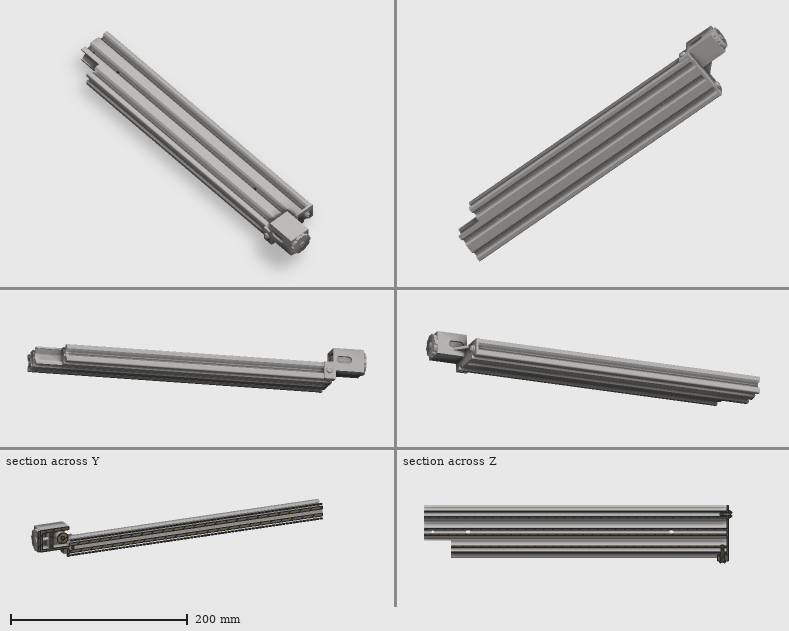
import cadquery as cq
import math

module = 20.0
bar_length = 342.0
bar_width = 60.0
cell_pitch = (bar_width - module) / 2
bar_height = module
bar_corner_radius = 1.5
core_y = [module / 2 + i * cell_pitch for i in range(3)]
mid_z = bar_height / 2

slot_mouth_half = 9.5 / 2
slot_neck_half = 2.85
slot_neck_depth = 2.0
slot_inner_half = 5.5
slot_inner_depth = 3.0
slot_floor_half = 2.0
slot_depth = 5.7
scribe_half = 0.5
scribe_depth = 0.57
core_hole_diameter = 4.2

cavity_half_width = 5.7
cavity_half_height = 15.5 / 2
cavity_roof_half = 1.5
cavity_wall_half = 1.72
cavity_bevel = 0.5
cavity_bevel_height = 1.5

notch_length = 30.2
notch_width = module

access_hole_diameter = 4.5
access_hole_x = [49.5, 279.8]
small_hole_diameter = 2.85
small_hole_x = 9.5

wall = 3.0
plate_thickness = 2.5
box_outer = 26.5
box_x_min = bar_length
box_x_max = 377.5
box_top = 36.5
box_y_min = -wall
box_mid_y = box_y_min + box_outer / 2
box_mid_z = box_top - box_outer / 2
box_inner_width = box_outer - 2 * wall
box_roof = 4.2
box_inner_z_min = box_top - box_outer + wall
box_inner_z_max = box_top - box_roof
front_plate_overlap = 10.5
neck_fillet_radius = 1.5
gusset_length = 14.5
gusset_rise = 14.5
gusset_thickness = 3.0
gusset_drop = 1.0
gusset_fillet_radius = 0.8
plate_notch_width = 7.5
plate_notch_height = 4.0
key_depth = 5.0
adjust_slot_length = 18.5
adjust_slot_height = 8.0
adjust_slot_x_min = 345.5

screw_shank_diameter = 4.0
screw_head_diameter = 7.5
screw_head_top_diameter = 4.5
screw_head_rim = 0.5
screw_dome_share = 0.7
screw_head_height = 2.3
screw_socket_across_corners = 2.85
screw_socket_depth = 1.0
front_screw_x = 337.5
front_screw_tip_y = 15.3
end_screw_length = 11.5
washer_diameter = 9.5
washer_thickness = 1.0

pulley_x = 350.0
pulley_barrel_diameter = 12.0
pulley_flange_diameter = 13.5
pulley_width = 9.5
pulley_barrel_width = 7.3
axle_diameter = 4.0
yoke_x_min = 343.5
yoke_x_max = 366.0
yoke_web = 4.5

knob_x_min = box_x_max
knob_x_max = 381.0
knob_diameter = 26.5
knob_lobes = 10
knob_scallop_diameter = 4.0
knob_scallop_depth = 1.0
rod_diameter = 4.0
rod_head_diameter = 7.3
rod_end_x = 382.2


def block(x0, x1, y0, y1, z0, z1):
    return cq.Workplane("XY").box(x1 - x0, y1 - y0, z1 - z0, centered=False).translate((x0, y0, z0))


def cylinder_x(diameter, x0, x1, y, z):
    return cq.Workplane("YZ", origin=(x0, y, z)).circle(diameter / 2).extrude(x1 - x0)


def cylinder_y(diameter, y0, y1, x, z):
    return cq.Workplane("XZ", origin=(x, y0, z)).circle(diameter / 2).extrude(y0 - y1)


def v_slot(face_y, face_z, turn, length):
    """Cutter for one slot; the local profile opens downward and is turned about X."""
    half = [
        (slot_mouth_half, 0),
        (slot_neck_half, slot_neck_depth),
        (slot_inner_half, slot_neck_depth),
        (slot_inner_half, slot_inner_depth),
        (slot_floor_half, slot_depth),
    ]
    outline = half + [(scribe_half, slot_depth), (0, slot_depth + scribe_depth), (-scribe_half, slot_depth)]
    outline += [(-u, depth) for u, depth in reversed(half)]
    cutter = cq.Workplane("YZ").polyline(outline).close().extrude(length)
    return cutter.rotate((0, 0, 0), (1, 0, 0), turn).translate((0, face_y, face_z))


def make_extrusion():
    bar = block(0, bar_length, 0, bar_width, 0, bar_height).edges("|X").fillet(bar_corner_radius)
    for y in core_y:
        bar = bar.cut(v_slot(y, 0, 0, bar_length))
        bar = bar.cut(v_slot(y, bar_height, 180, bar_length))
        bar = bar.cut(cylinder_x(core_hole_diameter, 0, bar_length, y, mid_z))
    bar = bar.cut(v_slot(0, mid_z, -90, bar_length))
    bar = bar.cut(v_slot(bar_width, mid_z, 90, bar_length))
    flank_half = cavity_half_width - cavity_bevel
    flank_z = cavity_wall_half + cavity_bevel_height
    upper = [
        (cavity_half_width, cavity_wall_half),
        (flank_half, flank_z),
        (cavity_roof_half, cavity_half_height),
        (-cavity_roof_half, cavity_half_height),
        (-flank_half, flank_z),
        (-cavity_half_width, cavity_wall_half),
    ]
    outline = upper + [(-y, -z) for y, z in upper]
    for left, right in zip(core_y, core_y[1:]):
        cavity = cq.Workplane("YZ", origin=(0, (left + right) / 2, mid_z))
        cavity = cavity.polyline(outline).close().extrude(bar_length)
        bar = bar.cut(cavity)
    bar = bar.cut(block(0, notch_length, 0, notch_width, 0, bar_height))
    holes = [(x, access_hole_diameter) for x in access_hole_x] + [(small_hole_x, small_hole_diameter)]
    for x, diameter in holes:
        hole = cq.Workplane("XY", origin=(x, core_y[1], 0)).circle(diameter / 2).extrude(bar_height)
        bar = bar.cut(hole)
    return bar.cut(cylinder_y(screw_shank_diameter, 0, front_screw_tip_y, front_screw_x, mid_z))


def make_bracket():
    plate_x_max = bar_length + plate_thickness
    front_x_min = bar_length - front_plate_overlap
    box_y_max = box_y_min + box_outer
    box_z_min = box_top - box_outer
    body = block(bar_length, plate_x_max, box_y_min, bar_width, 0, bar_height)
    body = body.union(block(front_x_min, plate_x_max, box_y_min, 0, 0, bar_height))
    body = body.union(block(box_x_min, box_x_max, box_y_min, box_y_max, box_z_min, box_top))
    body = body.union(
        block(front_x_min, bar_length, 0, key_depth, mid_z - slot_neck_half, mid_z + slot_neck_half)
    )
    gusset = (
        cq.Workplane("XY", origin=(plate_x_max, box_y_max, bar_height - gusset_drop))
        .polyline([(0, 0), (gusset_length, 0), (0, gusset_rise)])
        .close()
        .extrude(-gusset_thickness)
    )
    body = body.union(gusset)
    root = (plate_x_max, box_y_max + gusset_rise / 2, bar_height - gusset_drop)
    body = body.edges(cq.selectors.NearestToPointSelector(root)).fillet(gusset_fillet_radius)
    radius = neck_fillet_radius
    centre_x = bar_length - radius
    centre_z = bar_height + radius
    corner = block(centre_x, bar_length, box_y_min, 0, bar_height, centre_z)
    corner = corner.cut(cylinder_y(2 * radius, box_y_min, 0, centre_x, centre_z))
    body = body.union(corner)
    belt_y_min = box_mid_y - box_inner_width / 2
    belt_y_max = box_mid_y + box_inner_width / 2
    belt_space = block(
        box_x_min, box_x_max - wall, belt_y_min, belt_y_max, box_inner_z_min, box_inner_z_max
    )
    body = body.cut(belt_space)
    adjust_slot = (
        cq.Workplane("XZ", origin=(adjust_slot_x_min + adjust_slot_length / 2, box_y_max, box_mid_z))
        .slot2D(adjust_slot_length, adjust_slot_height)
        .extrude(box_outer)
    )
    body = body.cut(adjust_slot)
    for y in (core_y[0], core_y[2]):
        half = plate_notch_width / 2
        body = body.cut(block(bar_length, plate_x_max, y - half, y + half, 0, plate_notch_height))
    body = body.cut(cylinder_x(screw_shank_diameter, bar_length, plate_x_max, core_y[2], mid_z))
    body = body.cut(cylinder_y(screw_shank_diameter, -wall, key_depth, front_screw_x, mid_z))
    return body.cut(cylinder_x(rod_diameter, box_x_max - wall, box_x_max, box_mid_y, box_mid_z))


def make_screw(length):
    """Button-head screw along -Z, with the underside of its head on z = 0."""
    rim_radius = screw_head_diameter / 2
    top_radius = screw_head_top_diameter / 2
    dome_middle = (
        top_radius + screw_dome_share * (rim_radius - top_radius),
        screw_dome_share * screw_head_height,
    )
    head = (
        cq.Workplane("XZ")
        .lineTo(rim_radius, 0)
        .lineTo(rim_radius, screw_head_rim)
        .threePointArc(dome_middle, (top_radius, screw_head_height))
        .lineTo(0, screw_head_height)
        .close()
        .revolve()
    )
    shank = cq.Workplane("XY").circle(screw_shank_diameter / 2).extrude(-length)
    socket = (
        cq.Workplane("XY", origin=(0, 0, screw_head_height))
        .polygon(6, screw_socket_across_corners)
        .extrude(-screw_socket_depth)
    )
    return head.union(shank).cut(socket)


def make_yoke():
    y_min = box_mid_y - box_inner_width / 2
    y_max = box_mid_y + box_inner_width / 2
    z_min = box_inner_z_min
    z_max = box_inner_z_max
    gap = pulley_width / 2
    body = block(yoke_x_min, yoke_x_max, y_min, y_max, z_min, z_max)
    body = body.cut(
        block(yoke_x_min, yoke_x_max - yoke_web, box_mid_y - gap, box_mid_y + gap, z_min, z_max)
    )
    body = body.cut(cylinder_y(axle_diameter, y_min, y_max, pulley_x, box_mid_z))
    return body.cut(cylinder_x(rod_diameter, yoke_x_max - yoke_web, yoke_x_max, box_mid_y, box_mid_z))


def make_pulley():
    def disc(diameter, width):
        return cylinder_y(diameter, box_mid_y - width / 2, box_mid_y + width / 2, pulley_x, box_mid_z)

    body = disc(pulley_flange_diameter, pulley_width)
    body = body.cut(disc(pulley_flange_diameter, pulley_barrel_width))
    body = body.union(disc(pulley_barrel_diameter, pulley_width))
    return body.cut(disc(axle_diameter, pulley_width))


def make_axle():
    half_length = box_inner_width / 2
    return cylinder_y(axle_diameter, box_mid_y - half_length, box_mid_y + half_length, pulley_x, box_mid_z)


def make_knob():
    body = cylinder_x(knob_diameter, knob_x_min, knob_x_max, box_mid_y, box_mid_z)
    scallop_radius = (knob_diameter + knob_scallop_diameter) / 2 - knob_scallop_depth
    for i in range(knob_lobes):
        angle = 2 * math.pi * (i + 0.5) / knob_lobes
        y = box_mid_y + scallop_radius * math.cos(angle)
        z = box_mid_z + scallop_radius * math.sin(angle)
        body = body.cut(cylinder_x(knob_scallop_diameter, knob_x_min, knob_x_max, y, z))
    return body.cut(cylinder_x(rod_diameter, knob_x_min, knob_x_max, box_mid_y, box_mid_z))


def make_washer():
    x_min = bar_length + plate_thickness
    body = cylinder_x(washer_diameter, x_min, x_min + washer_thickness, core_y[2], mid_z)
    return body.cut(cylinder_x(screw_shank_diameter, x_min, x_min + washer_thickness, core_y[2], mid_z))


def make_rod():
    shank = cylinder_x(rod_diameter, yoke_x_max - yoke_web, knob_x_max, box_mid_y, box_mid_z)
    return shank.union(cylinder_x(rod_head_diameter, knob_x_max, rod_end_x, box_mid_y, box_mid_z))


front_screw = make_screw(wall + front_screw_tip_y).rotate((0, 0, 0), (1, 0, 0), 90)
front_screw = front_screw.translate((front_screw_x, -wall, mid_z))
end_screw = make_screw(end_screw_length).rotate((0, 0, 0), (0, 1, 0), 90)
end_screw = end_screw.translate((bar_length + plate_thickness + washer_thickness, core_y[2], mid_z))

bodies = [
    make_extrusion(),
    make_bracket(),
    front_screw,
    end_screw,
    make_washer(),
    make_yoke(),
    make_pulley(),
    make_axle(),
    make_knob(),
    make_rod(),
]
result = cq.Compound.makeCompound([body.solids().val() for body in bodies])